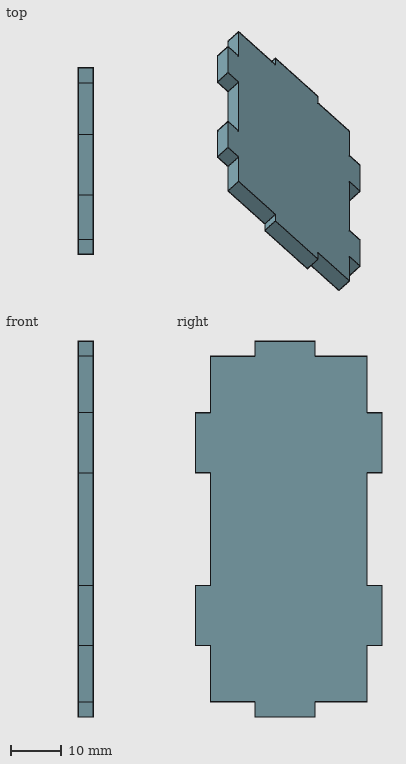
import cadquery as cq

thickness = 3.0
body_width = 31.2
body_height = 68.9

tab_length = 12.0
tab_depth = thickness
side_tab_offset = body_height / 4
end_tab_offset = -0.75


def plate(width, height, center_y=0.0, center_z=0.0):
    """Flat plate of the panel thickness, centred at the given Y and Z."""
    return cq.Workplane("XY").box(thickness, width, height).translate((0, center_y, center_z))


result = plate(body_width, body_height)

for side in (-1, 1):
    result = result.union(plate(body_width + 2 * tab_depth, tab_length, center_z=side * side_tab_offset))

result = result.union(plate(tab_length, body_height + 2 * tab_depth, center_y=end_tab_offset))